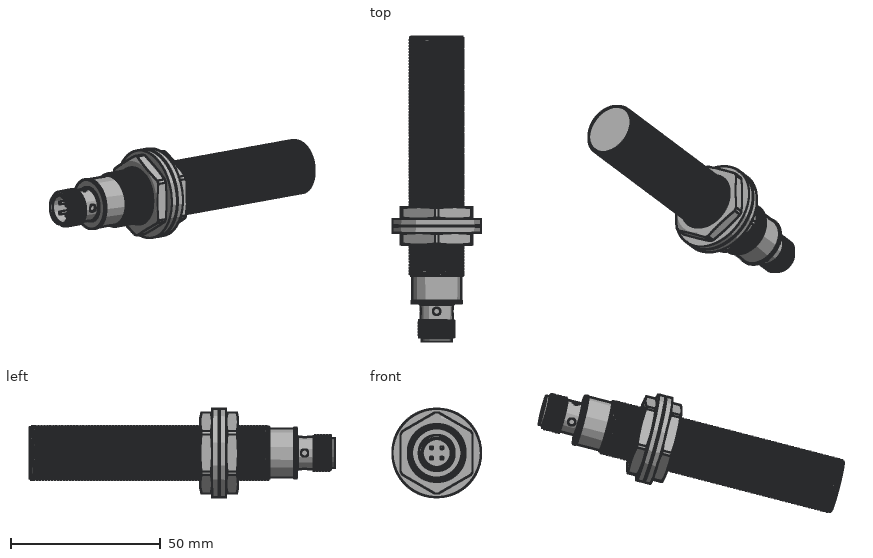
import cadquery as cq
import math

overall_length = 101.8

rim_diameter = 10.1
rim_end = 1.3
neck_diameter = 10.9
neck_end = 12.6
neck_base_chamfer = 0.4

mouth_diameter = 9.9
mouth_depth = 1.0
socket_diameter = 9.4
socket_depth = 8.1
pin_diameter = 1.0
pin_tip_setback = 1.7
pin_offset = 1.7
pin_root_length = 1.0

window_count = 4
window_diameter = 2.4
window_position = 10.1
window_depth = 0.5

collar_diameter = 16.9
collar_end = 13.6
collar_chamfer = 0.2
sleeve_diameter = 16.5
sleeve_end = 21.8

barrel_crest_diameter = 18.0
barrel_root_diameter = 16.9
barrel_turns = 80
barrel_phase = 42.0
barrel_chamfer = 0.6
connector_crest_diameter = 12.0
connector_root_diameter = neck_diameter
connector_thread_end = 7.1
connector_phase = 19.0
pitch = (overall_length - sleeve_end) / barrel_turns
crest_flat = pitch / 8
root_flat = pitch / 8
thread_clearance = 0.1

joint_position = 38.6
ring_bore = barrel_crest_diameter + thread_clearance
nut_across_flats = 24.0
nut_corner_diameter = 27.1
nut_thickness = 4.0
nut_face_diameter = 23.3
nut_chamfer_height = 0.4
countersink_diameter = 19.3
washer_diameter = 29.6
washer_thickness = 2.3
washer_step_diameter = 26.0
washer_step_height = 0.2


def cylinder(diameter, start, end):
    """Solid cylinder on the Y axis between two Y positions."""
    return cq.Workplane("XZ", origin=(0, start, 0)).circle(diameter / 2).extrude(start - end)


def revolved(profile):
    """Solid of revolution about the Y axis from (radius, Y) points."""
    return cq.Workplane("XY").polyline(profile).close().revolve(360, (0, 0, 0), (0, 1, 0))


def helix(radius, height, turns):
    """Right-hand helix around Z that starts on the XZ plane at the given height."""
    return cq.Wire.makeHelix(pitch, turns * pitch, radius, center=cq.Vector(0, 0, height))


def thread_end(profile, height):
    """Faces that close a threaded rod: one turn of helical floor and the radial step it leaves."""
    axis_line = cq.Edge.makeLine(cq.Vector(0, 0, height), cq.Vector(0, 0, height + pitch))
    root_radius = profile[0][0]
    floor = cq.Face.makeRuledSurface(cq.Wire.assembleEdges([axis_line]), helix(root_radius, height, 1))
    outline = [(0, 0), *profile, (0, pitch)]
    corners = [cq.Vector(radius, 0, height + rise) for radius, rise in outline]
    step = cq.Face.makeFromWires(cq.Wire.makePolygon(corners, close=True))
    return [floor, step]


def threaded_rod(root_diameter, crest_diameter, start, end, phase, chamfer):
    """Right-hand threaded rod on the Y axis, trimmed flat at both ends and chamfered there."""
    root = root_diameter / 2
    crest = crest_diameter / 2
    flank = (pitch - crest_flat - root_flat) / 2
    profile = [
        (root, 0),
        (crest, flank),
        (crest, flank + crest_flat),
        (root, pitch - root_flat),
        (root, pitch),
    ]

    spare_turns = 2
    turns = math.ceil((end - start) / pitch) + 2 * spare_turns
    faces = []
    for (radius_a, rise_a), (radius_b, rise_b) in zip(profile, profile[1:]):
        faces.append(cq.Face.makeRuledSurface(helix(radius_a, rise_a, turns), helix(radius_b, rise_b, turns)))
    faces += thread_end(profile, 0)
    faces += thread_end(profile, turns * pitch)
    rod = (
        cq.Workplane(cq.Solid.makeSolid(cq.Shell.makeShell(faces)))
        .rotate((0, 0, 0), (0, 0, 1), phase)
        .rotate((0, 0, 0), (1, 0, 0), -90)
        .translate((0, start - spare_turns * pitch, 0))
    )

    envelope = cylinder(crest_diameter + 2 * thread_clearance, start, end)
    if chamfer > 0:
        envelope = envelope.faces("<Y or >Y").chamfer(chamfer)
    return rod.intersect(envelope)


def make_connector():
    """Rim, threaded neck with indicator windows, and socket with four contact pins."""
    neck_radius = neck_diameter / 2
    body = revolved([
        (0, connector_thread_end),
        (neck_radius, connector_thread_end),
        (neck_radius, neck_end - neck_base_chamfer),
        (neck_radius + neck_base_chamfer, neck_end),
        (0, neck_end),
    ])
    window = (
        cq.Workplane("XY", origin=(0, window_position, neck_radius - window_depth))
        .circle(window_diameter / 2)
        .extrude(2 * window_depth)
    )
    for index in range(window_count):
        body = body.cut(window.rotate((0, 0, 0), (0, 1, 0), index * 360 / window_count))

    thread = threaded_rod(
        connector_root_diameter, connector_crest_diameter, rim_end, connector_thread_end, connector_phase, 0
    )
    body = body.union(thread).union(cylinder(rim_diameter, 0, rim_end))
    body = body.cut(cylinder(mouth_diameter, 0, mouth_depth)).cut(cylinder(socket_diameter, 0, socket_depth))
    pin = cylinder(pin_diameter, pin_tip_setback, socket_depth + pin_root_length)
    for x in (-pin_offset, pin_offset):
        for z in (-pin_offset, pin_offset):
            body = body.union(pin.translate((x, 0, z)))
    return body


def make_housing():
    """Sensor housing: connector, chamfered collar, smooth sleeve and threaded barrel in one solid."""
    collar = cylinder(collar_diameter, neck_end, collar_end).edges().chamfer(collar_chamfer)
    sleeve = cylinder(sleeve_diameter, collar_end, sleeve_end)
    barrel = threaded_rod(
        barrel_root_diameter, barrel_crest_diameter, sleeve_end, overall_length, barrel_phase, barrel_chamfer
    )
    return make_connector().union(collar).union(sleeve).union(barrel)


def make_nut(start):
    """Hexagon nut with two corners on the Z axis, corner chamfers and countersinks at both ends."""
    end = start + nut_thickness
    hexagon = (
        cq.Workplane("XZ", origin=(0, start, 0))
        .polygon(6, nut_across_flats, circumscribed=True)
        .extrude(-nut_thickness)
    )
    bore_radius = ring_bore / 2
    mouth_radius = countersink_diameter / 2
    countersink_depth = mouth_radius - bore_radius
    envelope = revolved([
        (bore_radius, start + countersink_depth),
        (mouth_radius, start),
        (nut_face_diameter / 2, start),
        (nut_corner_diameter / 2, start + nut_chamfer_height),
        (nut_corner_diameter / 2, end - nut_chamfer_height),
        (nut_face_diameter / 2, end),
        (mouth_radius, end),
        (bore_radius, end - countersink_depth),
    ])
    return hexagon.intersect(envelope)


def make_washer(side):
    """Washer on one side (-1 or 1 along Y) of the joint, with its stepped face at the joint."""
    step_end = joint_position + side * washer_step_height
    back = joint_position + side * washer_thickness
    return revolved([
        (ring_bore / 2, joint_position),
        (washer_step_diameter / 2, joint_position),
        (washer_step_diameter / 2, step_end),
        (washer_diameter / 2, step_end),
        (washer_diameter / 2, back),
        (ring_bore / 2, back),
    ])


housing = make_housing()
nut_starts = [
    joint_position - washer_thickness - nut_thickness,
    joint_position + washer_thickness,
]
nuts = [make_nut(start) for start in nut_starts]
washers = [make_washer(side) for side in (-1, 1)]

result = cq.Compound.makeCompound([body.val() for body in [housing, *nuts, *washers]])